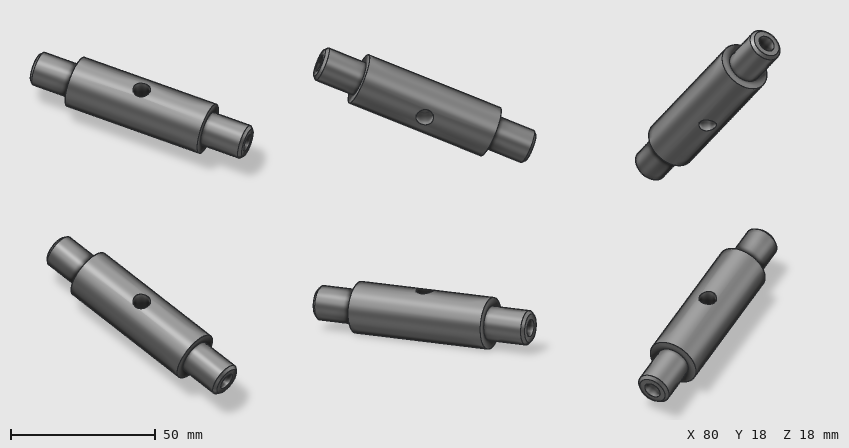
import cadquery as cq
import math

total_length = 80.0
body_length = 50.0
body_diameter = 18.0
journal_diameter = 12.0
journal_chamfer = 1.0

cross_hole_diameter = 6.0

end_hole_diameter = 6.0
end_hole_depth = 15.0
drill_point_angle = 118.0


def cylinder_along_x(diameter, length):
    return cq.Workplane("YZ").circle(diameter / 2).extrude(length / 2, both=True)


def end_hole():
    """Drilled hole entering the -X end: a straight bore closed by a cone."""
    radius = end_hole_diameter / 2
    point_length = radius / math.tan(math.radians(drill_point_angle / 2))
    entry_x = -total_length / 2
    bore_end_x = entry_x + end_hole_depth
    return (
        cq.Workplane("XY")
        .moveTo(entry_x, 0)
        .lineTo(entry_x, radius)
        .lineTo(bore_end_x, radius)
        .lineTo(bore_end_x + point_length, 0)
        .close()
        .revolve(360, (0, 0, 0), (1, 0, 0))
    )


journals = cylinder_along_x(journal_diameter, total_length).faces("<X or >X").chamfer(journal_chamfer)
shaft = journals.union(cylinder_along_x(body_diameter, body_length))

cross_hole = cq.Workplane("XY").circle(cross_hole_diameter / 2).extrude(body_diameter, both=True)
shaft = shaft.cut(cross_hole)

left_hole = end_hole()
for hole in (left_hole, left_hole.mirror("YZ")):
    shaft = shaft.cut(hole)

result = shaft